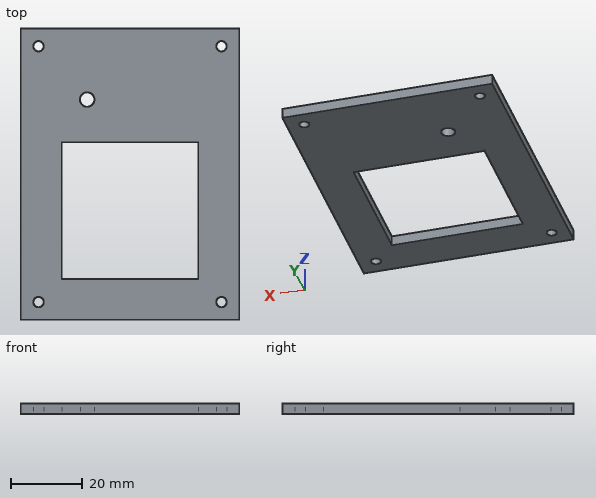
import cadquery as cq

width = 61.5
length = 82.0
thickness = 3.0

mount_diameter = 2.9
mount_inset = 5.0

single_diameter = 4.0
single_from_left = 18.7
single_from_back = 20.0

window_margin = 11.6
window_width = width - 2 * window_margin
window_length = 38.4


def through_holes(points, diameter):
    """Cylinders spanning the plate thickness at the given centres."""
    return cq.Workplane("XY").pushPoints(points).circle(diameter / 2).extrude(thickness)


plate = cq.Workplane("XY").rect(width, length).extrude(thickness)

mount_x = width / 2 - mount_inset
mount_y = length / 2 - mount_inset
mount_points = [(x, y) for x in (-mount_x, mount_x) for y in (-mount_y, mount_y)]
mount_holes = through_holes(mount_points, mount_diameter)

single_point = (-width / 2 + single_from_left, length / 2 - single_from_back)
single_hole = through_holes([single_point], single_diameter)

window_y = -length / 2 + window_margin + window_length / 2
window = (
    cq.Workplane("XY")
    .center(0, window_y)
    .rect(window_width, window_length)
    .extrude(thickness)
)

result = plate.cut(mount_holes).cut(single_hole).cut(window)